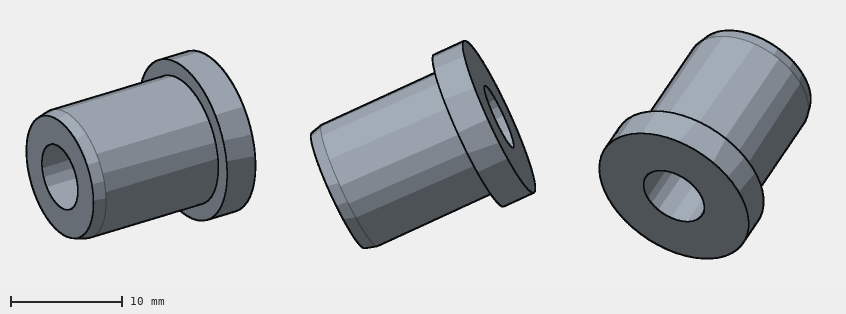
import cadquery as cq
import math

length = 16.0
head_diameter = 15.0
head_thickness = 3.0
body_diameter = 12.0
bore_diameter = 6.1
nose_length = 1.12
nose_angle = 15.0

head_radius = head_diameter / 2
body_radius = body_diameter / 2
bore_radius = bore_diameter / 2
nose_radius = body_radius - nose_length * math.tan(math.radians(nose_angle))
head_face = length - head_thickness

half_section = (
    cq.Workplane("XY")
    .moveTo(bore_radius, 0)
    .lineTo(nose_radius, 0)
    .lineTo(body_radius, nose_length)
    .lineTo(body_radius, head_face)
    .lineTo(head_radius, head_face)
    .lineTo(head_radius, length)
    .lineTo(bore_radius, length)
    .close()
)

result = half_section.revolve(360, (0, 0, 0), (0, 1, 0))